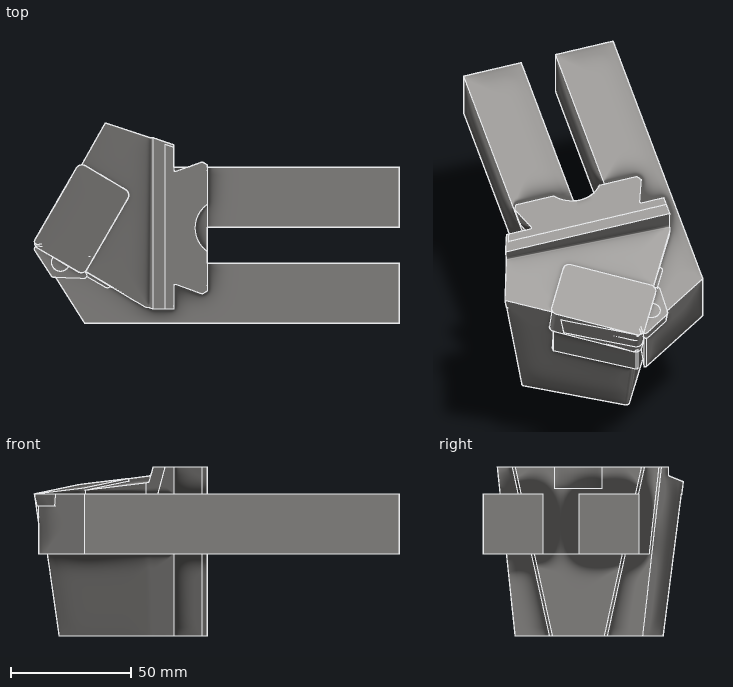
import cadquery as cq
import math

ALONG_EDGE = (math.cos(math.radians(60)), math.sin(math.radians(60)))
ACROSS_EDGE = (math.sin(math.radians(60)), -math.cos(math.radians(60)))
RAKE_SLOPE = math.tan(math.radians(6))
RISE_X = RAKE_SLOPE * (ALONG_EDGE[0] + ACROSS_EDGE[0])
RISE_Y = RAKE_SLOPE * (ALONG_EDGE[1] + ACROSS_EDGE[1])
NOSE_NORMAL = cq.Vector(-RISE_X, -RISE_Y, 1)

TOOL_LENGTH = 151.55
SHANK_SIZE = 25.0
TOOL_TOP = 59.0
TOOL_BOTTOM = TOOL_TOP - SHANK_SIZE
MIRROR_Y = 32.4
HEAD_CORNER_X = 20.9
HEAD_NOSE_X = 1.8
HEAD_FACE_TOP_Y = 30.2
HEAD_NOSE_Y = 31.1
HEAD_SHOULDER_X = 40.0

RHOMB_TIP = (-1.05, 32.1)
RHOMB_SIDE = 15.5
RHOMB_SIDE_ANGLES = (-57, -2)
RHOMB_THICKNESS = 5.0
RHOMB_CORNER_RADIUS = 1.2
RHOMB_CLEARANCE_ANGLE = 7
RHOMB_HOLE_DIAMETER = 7.5

INSERT_CORNER = (-0.98, 32.6)
INSERT_TOP_AT_CORNER = 58.85
INSERT_LENGTH = 39.7
INSERT_WIDTH = 25.0
INSERT_THICKNESS = 14.0
INSERT_CORNER_RADIUS = 2.75

PLATE_REACH = 36.8
PLATE_LENGTH = 35.0
PLATE_THICKNESS = 9.6
PLATE_CORNER_RADIUS = 1.5
PLATE_TAPER_ANGLE = 6
PLATE_OVERSIZE = 5.0

CASSETTE_HEIGHT = 70.19
NOSE_TOP_AT_CORNER = 57.8
ROUNDING_TOP = 58.7
NOSE_SETBACK = 1.6
DRAFT = math.tan(math.radians(6))
FRONT_SIDE_Y = 5.9
REAR_SIDE_POINT = (58.0, 74.1)
REAR_SIDE_ANGLE = -19
WING_BACK_X = 58.0
CORNER_RADII = (1.7, 4.0, 1.0)

WALL_TOP_X = 49.3
WALL_SLOPE = math.tan(math.radians(15))
WALL_FOOT_RADIUS = 1.0

DOVETAIL_CENTER_Y = 39.6
DOVETAIL_BACK_X = 71.9
DOVETAIL_TIP_X = 69.75
DOVETAIL_TIP_HALF = 27.45
DOVETAIL_BACK_HALF = 26.2
DOVETAIL_FLANK_SLOPE = math.tan(math.radians(20))
DOVETAIL_ROOT_HALF = DOVETAIL_TIP_HALF - (DOVETAIL_TIP_X - WING_BACK_X) * DOVETAIL_FLANK_SLOPE
DOVETAIL_ROOT_RADIUS = 0.7
SCALLOP_RADIUS = 12.0
SCALLOP_DEEPEST_X = 66.8
SCALLOP_DEPTH = 9.0
DOVETAIL_TAPER = 0.22

SLIDE_TOP_X = 54.3
SLIDE_RIM = 1.0

REACH = 200.0


def on_edge_axes(along, across):
    """Plan point at the given distances from the insert corner."""
    return (
        INSERT_CORNER[0] + along * ALONG_EDGE[0] + across * ACROSS_EDGE[0],
        INSERT_CORNER[1] + along * ALONG_EDGE[1] + across * ACROSS_EDGE[1],
    )


def nose_plane(height_at_corner):
    """Tilted plane through the insert corner; local X runs along the long insert edge."""
    along = cq.Vector(ALONG_EDGE[0], ALONG_EDGE[1], RAKE_SLOPE)
    return cq.Plane(origin=(*INSERT_CORNER, height_at_corner), xDir=along, normal=NOSE_NORMAL)


def mirrored_tool_part(body):
    return body.mirror("XZ", (0, MIRROR_Y, 0))


def make_holder():
    outline = [
        (HEAD_CORNER_X, 0),
        (TOOL_LENGTH, 0),
        (TOOL_LENGTH, SHANK_SIZE),
        (HEAD_SHOULDER_X, SHANK_SIZE),
        (HEAD_NOSE_X, HEAD_NOSE_Y),
        (HEAD_NOSE_X, HEAD_FACE_TOP_Y),
    ]
    return cq.Workplane("XY", origin=(0, 0, TOOL_BOTTOM)).polyline(outline).close().extrude(SHANK_SIZE)


def make_rhombic_insert():
    steps = []
    for angle in RHOMB_SIDE_ANGLES:
        turn = math.radians(angle)
        steps.append((RHOMB_SIDE * math.cos(turn), RHOMB_SIDE * math.sin(turn)))
    (ax, ay), (bx, by) = steps
    x, y = RHOMB_TIP
    outline = [(x, y), (x + ax, y + ay), (x + ax + bx, y + ay + by), (x + bx, y + by)]
    plane = cq.Workplane("XY", origin=(0, 0, TOOL_TOP))
    blank = plane.polyline(outline).close().extrude(-RHOMB_THICKNESS, taper=RHOMB_CLEARANCE_ANGLE)
    blank = blank.edges("not #Z").fillet(RHOMB_CORNER_RADIUS)
    hole = (
        plane.center(x + (ax + bx) / 2, y + (ay + by) / 2)
        .circle(RHOMB_HOLE_DIAMETER / 2)
        .extrude(-RHOMB_THICKNESS)
    )
    return blank.cut(hole)


def make_large_insert():
    return (
        cq.Workplane(nose_plane(INSERT_TOP_AT_CORNER))
        .rect(INSERT_LENGTH, -INSERT_WIDTH, centered=False)
        .extrude(-INSERT_THICKNESS)
        .edges(cq.selectors.ParallelDirSelector(NOSE_NORMAL))
        .fillet(INSERT_CORNER_RADIUS)
    )


def make_insert_envelope():
    """Space behind the two cutting faces of the large insert, without its ends, top and bottom."""
    nose_edge = cq.selectors.NearestToPointSelector((*INSERT_CORNER, INSERT_TOP_AT_CORNER))
    return (
        cq.Workplane(nose_plane(INSERT_TOP_AT_CORNER))
        .workplane(offset=-REACH / 2)
        .rect(REACH, -REACH, centered=False)
        .extrude(REACH)
        .edges(nose_edge)
        .fillet(INSERT_CORNER_RADIUS)
    )


def make_seat_plate():
    outline = [
        on_edge_axes(-PLATE_OVERSIZE, -PLATE_OVERSIZE),
        on_edge_axes(-PLATE_OVERSIZE, PLATE_REACH),
        on_edge_axes(PLATE_LENGTH, PLATE_REACH),
        on_edge_axes(PLATE_LENGTH, -PLATE_OVERSIZE),
    ]
    corner = cq.selectors.NearestToPointSelector((*on_edge_axes(0, PLATE_REACH), TOOL_TOP))
    return (
        cq.Workplane("XY", origin=(0, 0, TOOL_TOP))
        .polyline(outline)
        .close()
        .extrude(-PLATE_THICKNESS, taper=PLATE_TAPER_ANGLE)
        .intersect(make_insert_envelope())
        .edges("not #Z")
        .edges(corner)
        .fillet(PLATE_CORNER_RADIUS)
    )


def crossing(line_a, line_b):
    """Plan point where two lines meet; a line is a point and a direction."""
    (ax, ay), (adx, ady) = line_a
    (bx, by), (bdx, bdy) = line_b
    t = ((bx - ax) * bdy - (by - ay) * bdx) / (adx * bdy - ady * bdx)
    return (ax + t * adx, ay + t * ady)


def cassette_section(z, rim=0.0):
    """Plan corners of the drafted cassette at height z, with its rear side moved in by rim."""
    setback = NOSE_SETBACK + (TOOL_TOP - z) * DRAFT
    side_inset = (CASSETTE_HEIGHT - z) * DRAFT
    nose = on_edge_axes(setback, setback)
    turn = math.radians(REAR_SIDE_ANGLE)
    rear_shift = side_inset + rim
    rear_point = (
        REAR_SIDE_POINT[0] + rear_shift * math.sin(turn),
        REAR_SIDE_POINT[1] - rear_shift * math.cos(turn),
    )
    front_face = (nose, ACROSS_EDGE)
    rear_face = (nose, ALONG_EDGE)
    front_side = ((0, FRONT_SIDE_Y + side_inset), (1, 0))
    rear_side = (rear_point, (math.cos(turn), math.sin(turn)))
    back = ((WING_BACK_X, 0), (0, 1))
    return [
        nose,
        crossing(front_face, front_side),
        crossing(front_side, back),
        crossing(back, rear_side),
        crossing(rear_side, rear_face),
    ]


def drafted_block(z_low, z_high, rim=0.0):
    low = cassette_section(z_low, rim)
    high = cassette_section(z_high, rim)
    return (
        cq.Workplane("XY", origin=(0, 0, z_low))
        .polyline(low)
        .close()
        .workplane(offset=z_high - z_low)
        .polyline(high)
        .close()
        .loft(ruled=True)
    )


def dovetail_section(z):
    """Plan corners of the dovetail at height z, where it is narrower than at the top."""
    narrowing = (CASSETTE_HEIGHT - z) * DOVETAIL_TAPER
    half = [
        (WING_BACK_X, DOVETAIL_ROOT_HALF - narrowing),
        (DOVETAIL_TIP_X, DOVETAIL_TIP_HALF - narrowing),
        (DOVETAIL_BACK_X, DOVETAIL_BACK_HALF - narrowing),
    ]
    return half + [(x, -y) for x, y in reversed(half)]


def make_dovetail():
    scallop = (
        cq.Workplane("XY", origin=(0, 0, CASSETTE_HEIGHT - SCALLOP_DEPTH))
        .center(SCALLOP_DEEPEST_X + SCALLOP_RADIUS, DOVETAIL_CENTER_Y)
        .circle(SCALLOP_RADIUS)
        .extrude(SCALLOP_DEPTH)
    )
    return (
        cq.Workplane("XY", origin=(0, DOVETAIL_CENTER_Y, 0))
        .polyline(dovetail_section(0))
        .close()
        .workplane(offset=CASSETTE_HEIGHT)
        .polyline(dovetail_section(CASSETTE_HEIGHT))
        .close()
        .loft(ruled=True)
        .cut(scallop)
    )


def behind_slope(top_x, bottom_z):
    """Everything behind a plane that leans forward by the wall slope, above bottom_z."""
    foot_x = top_x - (CASSETTE_HEIGHT - bottom_z) * WALL_SLOPE
    outline = [(foot_x, bottom_z), (REACH, bottom_z), (REACH, CASSETTE_HEIGHT), (top_x, CASSETTE_HEIGHT)]
    return cq.Workplane("XZ", origin=(0, REACH, 0)).polyline(outline).close().extrude(2 * REACH)


def make_nose_cutter():
    """Space above the tilted nose top and in front of the sloping wall."""
    above_nose = (
        cq.Workplane(nose_plane(NOSE_TOP_AT_CORNER)).rect(2 * REACH, 2 * REACH).extrude(CASSETTE_HEIGHT)
    )
    height_above = 2 * CASSETTE_HEIGHT
    wall = [
        (WALL_TOP_X - CASSETTE_HEIGHT * WALL_SLOPE, 0),
        (WALL_TOP_X + height_above * WALL_SLOPE, CASSETTE_HEIGHT + height_above),
        (-REACH, CASSETTE_HEIGHT + height_above),
        (-REACH, 0),
    ]
    front = cq.Workplane("XZ", origin=(0, REACH, 0)).polyline(wall).close().extrude(2 * REACH)
    cutter = above_nose.intersect(front)
    foot = cq.selectors.NearestToPointSelector((WALL_TOP_X, DOVETAIL_CENTER_Y, TOOL_TOP))
    return cutter.edges(foot).fillet(WALL_FOOT_RADIUS)


def make_cassette_blank():
    lower = drafted_block(0, ROUNDING_TOP)
    section = cassette_section(ROUNDING_TOP / 2)
    for corner, radius in zip((section[0], section[1], section[4]), CORNER_RADII):
        edge = cq.selectors.NearestToPointSelector((*corner, ROUNDING_TOP / 2))
        lower = lower.edges(edge).fillet(radius)
    upper = drafted_block(ROUNDING_TOP, CASSETTE_HEIGHT).cut(make_nose_cutter())
    blank = lower.union(upper).union(make_dovetail())
    root_half = dovetail_section(ROUNDING_TOP / 2)[0][1]
    for side in (-1, 1):
        root = (WING_BACK_X, DOVETAIL_CENTER_Y + side * root_half, ROUNDING_TOP / 2)
        edge = cq.selectors.NearestToPointSelector(root)
        blank = blank.edges(edge).fillet(DOVETAIL_ROOT_RADIUS)
    return blank


def cut_out(body, seated_bodies):
    """Body with a matching recess for every body seated in it."""
    for seated in seated_bodies:
        body = body.cut(seated)
    return body


front_rhombic_insert = make_rhombic_insert()
rhombic_inserts = [front_rhombic_insert, mirrored_tool_part(front_rhombic_insert)]
seat_plate = cut_out(make_seat_plate(), rhombic_inserts)
large_insert = cut_out(make_large_insert(), [*rhombic_inserts, seat_plate])
inserts = [*rhombic_inserts, seat_plate, large_insert]

front_holder = make_holder()
holders = [cut_out(holder, inserts) for holder in (front_holder, mirrored_tool_part(front_holder))]

blank = make_cassette_blank()
rim = drafted_block(0, CASSETTE_HEIGHT).cut(drafted_block(0, CASSETTE_HEIGHT, SLIDE_RIM))
slide_space = behind_slope(SLIDE_TOP_X, TOOL_BOTTOM).cut(rim)
slide = cut_out(blank.intersect(slide_space), [*inserts, *holders])
cassette = cut_out(blank, [slide_space, *inserts, *holders])

bodies = [*holders, *inserts, cassette, slide]
result = cq.Compound.makeCompound([solid for body in bodies for solid in body.solids().vals()])